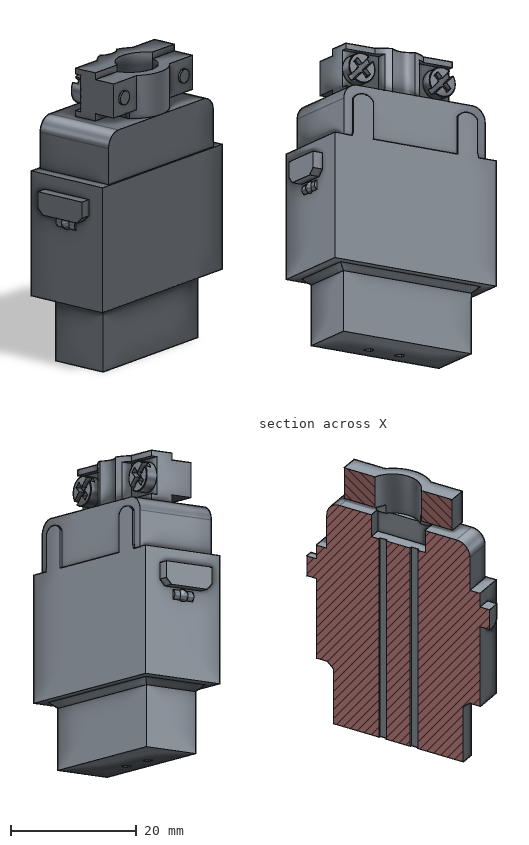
import cadquery as cq
import math

plug_width = 9.7
plug_length = 24.0
shoulder_width = 11.6
shoulder_length = 26.3
plug_height = 10.05
sleeve_bottom = 11.1

sleeve_width = 14.6
sleeve_length = 30.3
sleeve_top = 31.9
hood_width = 14.0
hood_length = 26.55
hood_top = 40.43
hood_corner_radius = 2.5
sleeve_wall = (sleeve_width - hood_width) / 2

lug_inner = 7.95
lug_outer = 11.65
lug_shoulder = 38.1
lug_top = 39.1
lug_foot_flare = 0.2
lug_foot_height = 0.75

overall_length = 33.85
ear_reach = (overall_length - sleeve_length) / 2
front_ear_width = 9.0
rear_ear_width = 7.15
ear_bottom = 25.7
ear_top = 29.4
ear_chamfer = 1.0

nub_height = 24.55
nub_ball_sink = 0.22
nub_ball_radius = 1.0
nub_bar_sink = 0.52
nub_bar_radius = 0.95
nub_bar_length = 3.75

contact_hole_x = 1.97
contact_hole_spacing = 5.8
contact_hole_radius = 0.66
contact_hole_flat = 2.6

overall_height = 48.7
bar_length = 20.0
bar_split = 1.65
front_bar_height = 8.0
front_bar_face = -2.4
rear_bar_face = 5.4
rear_bar_top_step = 1.12
rear_bar_bottom_step = 1.2
ring_center = 0.73
ring_radius = hood_width / 2 - ring_center
rear_bore_center = 0.5
rear_bore_radius = 4.6
front_bore_x = -0.9
front_bump_x = -3.75
front_bump_half_length = 2.1
front_bump_center = 3.0
front_ring_radius = math.hypot(front_bump_center - front_bump_x, front_bump_half_length)
scallop_x = -2.93
front_bar_bottom = overall_height - front_bar_height
rear_bar_top = overall_height - rear_bar_top_step
rear_bar_bottom = front_bar_bottom + rear_bar_bottom_step
bar_middle = overall_height - front_bar_height / 2

pillar_inner_half_length = 3.2
pillar_outer_half_length = 4.95

cable_pocket_wall_x = 4.3
cable_pocket_width = 2 * (cable_pocket_wall_x - bar_split)
cable_pocket_length = 2 * pillar_outer_half_length
cable_pocket_depth = 4.0

screw_spacing = 15.1
screw_height = 44.75
screw_pocket_floor = -1.35
screw_pocket_height = 6.1
screw_pocket_inner = 3.2
screw_head_face = -3.35
screw_head_radius = 2.45
screw_rim_chamfer = 0.1
screw_tip_radius = 1.15
screw_tip_x = 5.75
drive_slot_width = 1.0
drive_slot_depth = 1.05
short_slot_length = 3.4
drive_angle = 45


def block(x_size, y_size, bottom, top):
    """Box centred on the Z axis between two heights."""
    return cq.Workplane("XY").workplane(offset=bottom).rect(x_size, y_size).extrude(top - bottom)


def circle_x(center, radius, y):
    """X of a circle centred on the X axis, on its +X side, at the given Y."""
    return center + math.sqrt(radius**2 - y**2)


def circle_y(center, radius, x):
    """Positive Y of a circle centred on the X axis, at the given X."""
    return math.sqrt(radius**2 - (x - center) ** 2)


def make_shoulder():
    return (
        cq.Workplane("XY").workplane(offset=plug_height).rect(plug_width, plug_length)
        .workplane(offset=sleeve_bottom - plug_height).rect(shoulder_width, shoulder_length)
        .loft(ruled=True)
    )


def make_lug(side):
    middle = (lug_inner + lug_outer) / 2
    foot = lug_outer + lug_foot_flare
    return (
        cq.Workplane("YZ").workplane(offset=-sleeve_width / 2)
        .moveTo(side * lug_inner, sleeve_top)
        .lineTo(side * lug_inner, lug_shoulder)
        .threePointArc((side * middle, lug_top), (side * lug_outer, lug_shoulder))
        .lineTo(side * lug_outer, sleeve_top + lug_foot_height)
        .lineTo(side * foot, sleeve_top)
        .close()
        .extrude(sleeve_wall)
    )


def make_ear(side, width):
    return (
        cq.Workplane("XY")
        .box(width, ear_reach, ear_top - ear_bottom, centered=(True, True, False))
        .edges("|Y and <Z").chamfer(ear_chamfer)
        .translate((0, side * (sleeve_length + ear_reach) / 2, ear_bottom))
    )


def make_nub(side):
    bar_y = side * (sleeve_length / 2 - nub_bar_sink)
    ball_y = side * (sleeve_length / 2 - nub_ball_sink)
    bar = (
        cq.Workplane("YZ").workplane(offset=-nub_bar_length / 2)
        .center(bar_y, nub_height).circle(nub_bar_radius).extrude(nub_bar_length)
    )
    ball = cq.Workplane("XY").sphere(nub_ball_radius).translate((0, ball_y, nub_height))
    return bar.union(ball)


def make_contact_hole(side):
    y = side * contact_hole_spacing / 2
    r = contact_hole_radius
    return (
        cq.Workplane("XY")
        .moveTo(contact_hole_flat, y - r)
        .lineTo(contact_hole_x, y - r)
        .threePointArc((contact_hole_x - r, y), (contact_hole_x, y + r))
        .lineTo(contact_hole_flat, y + r)
        .close()
        .extrude(hood_top)
    )


def make_cable_pocket():
    bottom = hood_top - cable_pocket_depth
    return block(cable_pocket_width, cable_pocket_length, bottom, hood_top).translate((bar_split, 0, 0))


def make_housing():
    hood = block(hood_width, hood_length, sleeve_top, hood_top)
    hood = hood.edges("|X and >Z").fillet(hood_corner_radius)
    body = (
        block(plug_width, plug_length, 0, plug_height)
        .union(make_shoulder())
        .union(block(sleeve_width, sleeve_length, sleeve_bottom, sleeve_top))
        .union(hood)
        .cut(make_cable_pocket())
    )
    for side, ear_width in ((-1, front_ear_width), (1, rear_ear_width)):
        body = body.union(make_lug(side))
        body = body.union(make_ear(side, ear_width))
        body = body.union(make_nub(side))
        body = body.cut(make_contact_hole(side))
    return body


def make_front_bar():
    half = bar_length / 2
    bore_y = circle_y(rear_bore_center, rear_bore_radius, bar_split)
    flank_y = circle_y(front_bump_center, front_ring_radius, front_bar_face)
    flank_mid_y = (flank_y + front_bump_half_length) / 2
    flank_mid_x = front_bump_center - circle_y(0, front_ring_radius, flank_mid_y)
    return (
        cq.Workplane("XY").workplane(offset=front_bar_bottom)
        .moveTo(bar_split, half)
        .lineTo(front_bar_face, half)
        .lineTo(front_bar_face, flank_y)
        .threePointArc((flank_mid_x, flank_mid_y), (front_bump_x, front_bump_half_length))
        .threePointArc((scallop_x, 0), (front_bump_x, -front_bump_half_length))
        .threePointArc((flank_mid_x, -flank_mid_y), (front_bar_face, -flank_y))
        .lineTo(front_bar_face, -half)
        .lineTo(bar_split, -half)
        .lineTo(bar_split, -bore_y)
        .threePointArc((front_bore_x, 0), (bar_split, bore_y))
        .close()
        .extrude(front_bar_height)
    )


def make_rear_bar():
    half = bar_length / 2
    bore_y = circle_y(rear_bore_center, rear_bore_radius, bar_split)
    ring_y = circle_y(ring_center, ring_radius, rear_bar_face)
    return (
        cq.Workplane("XY").workplane(offset=rear_bar_bottom)
        .moveTo(bar_split, half)
        .lineTo(rear_bar_face, half)
        .lineTo(rear_bar_face, ring_y)
        .threePointArc((ring_center + ring_radius, 0), (rear_bar_face, -ring_y))
        .lineTo(rear_bar_face, -half)
        .lineTo(bar_split, -half)
        .lineTo(bar_split, -bore_y)
        .threePointArc((rear_bore_center + rear_bore_radius, 0), (bar_split, bore_y))
        .close()
        .extrude(rear_bar_top - rear_bar_bottom)
    )


def make_pillar():
    """Curved wall under the rear bar: the ring outside, the bore inside, trimmed square at both ends."""
    inner_x = circle_x(rear_bore_center, rear_bore_radius, pillar_inner_half_length)
    outer_x = circle_x(ring_center, ring_radius, pillar_outer_half_length)
    return (
        cq.Workplane("XY").workplane(offset=hood_top)
        .moveTo(inner_x, pillar_inner_half_length)
        .lineTo(inner_x, pillar_outer_half_length)
        .lineTo(outer_x, pillar_outer_half_length)
        .threePointArc((ring_center + ring_radius, 0), (outer_x, -pillar_outer_half_length))
        .lineTo(inner_x, -pillar_outer_half_length)
        .lineTo(inner_x, -pillar_inner_half_length)
        .threePointArc((rear_bore_center + rear_bore_radius, 0), (inner_x, pillar_inner_half_length))
        .close()
        .extrude(rear_bar_bottom - hood_top)
    )


def make_screw_pocket(side):
    depth = screw_pocket_floor - front_bump_x
    length = bar_length / 2 - screw_pocket_inner
    return cq.Workplane("XY").box(depth, length, screw_pocket_height).translate(
        (screw_pocket_floor - depth / 2, side * (screw_pocket_inner + length / 2), bar_middle)
    )


def make_screw_head(y):
    head = cq.Workplane("YZ").circle(screw_head_radius).extrude(screw_pocket_floor - screw_head_face)
    head = head.faces("<X").edges().chamfer(screw_rim_chamfer)
    slots = (
        cq.Workplane("YZ")
        .rect(2 * screw_head_radius, drive_slot_width).extrude(drive_slot_depth)
        .union(cq.Workplane("YZ").rect(drive_slot_width, short_slot_length).extrude(drive_slot_depth))
        .rotate((0, 0, 0), (1, 0, 0), -drive_angle)
    )
    return head.cut(slots).translate((screw_head_face, y, screw_height))


def make_screw_tip(y):
    return (
        cq.Workplane("YZ").workplane(offset=rear_bar_face)
        .center(y, screw_height).circle(screw_tip_radius).extrude(screw_tip_x - rear_bar_face)
    )


def make_clamp():
    body = make_front_bar().union(make_rear_bar()).union(make_pillar())
    for side in (-1, 1):
        screw_y = side * screw_spacing / 2
        body = body.cut(make_screw_pocket(side))
        body = body.union(make_screw_head(screw_y)).union(make_screw_tip(screw_y))
    return body


housing = make_housing()
clamp = make_clamp()
result = cq.Compound.makeCompound([housing.solids().val(), clamp.solids().val()])